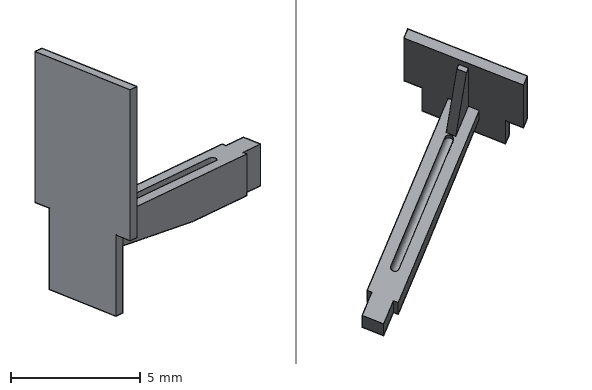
import cadquery as cq

plate_thickness = 0.4
plate_height = 10.0
panel_width = 5.0
panel_bottom = 3.5
tab_width = 3.5

overall_depth = 9.7
beam_width = 1.3
beam_top = panel_bottom
beam_bottom = 1.7
beam_root_bottom = 2.25
beam_taper_end = 5.6
nose_length = 1.0
nose_width = 0.9
beam_end = overall_depth - nose_length

rib_width = 0.4
rib_foot = 1.7
rib_tip = 0.6
rib_top = 9.3

groove_width = 0.34
groove_front = 1.73
groove_back = 7.6
groove_bend = 7.2
groove_back_depth = 1.0


def side_prism(points, width):
    """Prism with a (Y, Z) outline, centred on X = 0."""
    return cq.Workplane("YZ").polyline(points).close().extrude(width / 2, both=True)


def side_block(y_start, y_end, z_start, z_end, width):
    """Rectangular block spanning the given Y and Z ranges, centred on X = 0."""
    return side_prism(
        [(y_start, z_start), (y_end, z_start), (y_end, z_end), (y_start, z_end)],
        width,
    )


def make_plate():
    panel = side_block(0, plate_thickness, panel_bottom, plate_height, panel_width)
    tab = side_block(0, plate_thickness, 0, panel_bottom, tab_width)
    return panel.union(tab)


def make_beam():
    beam = side_prism(
        [
            (0, beam_root_bottom),
            (beam_taper_end, beam_bottom),
            (beam_end, beam_bottom),
            (beam_end, beam_top),
            (0, beam_top),
        ],
        beam_width,
    )
    nose = side_block(beam_end, overall_depth, beam_bottom, beam_top, nose_width)
    return beam.union(nose)


def make_rib():
    return side_prism(
        [
            (plate_thickness, beam_top),
            (rib_foot, beam_top),
            (rib_tip, rib_top),
            (plate_thickness, rib_top),
        ],
        rib_width,
    )


def make_groove():
    radius = groove_width / 2
    floor_slope = (beam_root_bottom - beam_bottom) / beam_taper_end
    axis_back = beam_top - groove_back_depth + radius
    axis_front = axis_back + floor_slope * groove_bend

    section_height = 2 * groove_back_depth
    axis = cq.Workplane("YZ").polyline(
        [(0, axis_front), (groove_bend, axis_back), (overall_depth, axis_back)]
    )
    trough = (
        cq.Workplane("XZ", origin=(0, 0, axis_front))
        .moveTo(-radius, section_height)
        .lineTo(-radius, 0)
        .threePointArc((0, -radius), (radius, 0))
        .lineTo(radius, section_height)
        .close()
        .sweep(axis, transition="right")
    )

    outline = (
        cq.Workplane("XY", origin=(0, (groove_front + groove_back) / 2, beam_bottom))
        .slot2D(groove_back - groove_front, groove_width, 90)
        .extrude(beam_top - beam_bottom)
    )
    return trough.intersect(outline)


result = make_plate().union(make_beam().cut(make_groove())).union(make_rib())